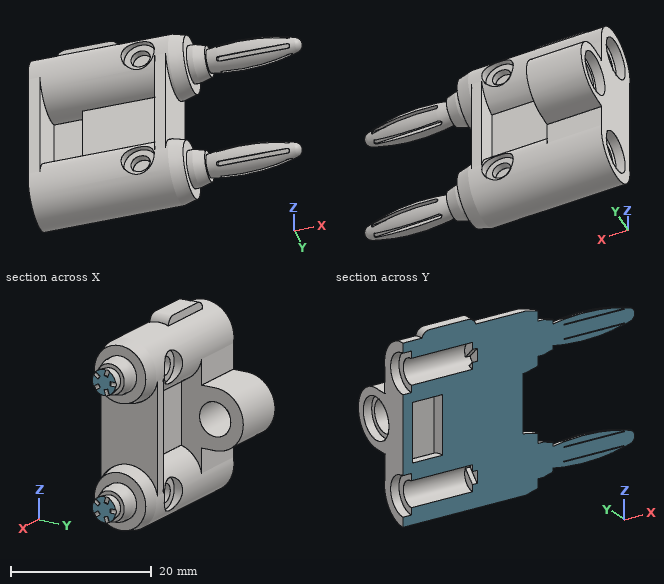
import cadquery as cq
import math


overall_width = 16.6
pin_spacing = 19.05
barrel_diameter = 9.7
barrel_radius = barrel_diameter / 2
barrel_length = 20.85
taper_end = 22.9
taper_end_radius = 4.32
upper_z = pin_spacing / 2
barrel_heights = (upper_z, -upper_z)

collar_radius = 2.8
collar_straight_end = 23.85
collar_end = 25.5
collar_end_radius = 2.3
pin_root_radius = 1.73
pin_belly_x = 31.05
pin_belly_radius = 2.2
nose_x = 38.55
nose_radius = 1.05
pin_tip = 39.3

slot_count = 5
slot_start = 27.05
slot_end = 37.73
slot_width = 0.65
slot_floor_radius = 1.05

web_length = 20.45
plate_half_width = 4.75
plate_half_height = 8.55
rear_plate_thickness = 1.73
front_plate_thickness = 1.6
web_front_y = -0.28
web_thickness = 1.6
deep_pocket_end = 6.7
deep_pocket_y = 2.15

jack_length = 8.55
jack_radius = 4.7
jack_y = overall_width - barrel_radius - jack_radius
jack_bore_diameter = 5.23
jack_counterbore_diameter = 6.72

counterbore_depth = 1.4
entry_bore_diameter = 4.13
entry_counterbore_diameter = 6.4
entry_bore_depth = 11.8
driver_slot_width = 1.38
driver_slot_depth = 0.8
driver_slot_angle = 45

side_hole_x = 16.3
side_counterbore_diameter = 4.9
side_hole_diameter = 2.83
side_hole_floor_y = 2.35

tab_start = 3.2
tab_end = 12.4
tab_width = 3.15
tab_height = 1.02
tab_end_radius = 1.38


def box(x_range, y_range, z_range):
    """Box between the given limits."""
    corner = (x_range[0], y_range[0], z_range[0])
    size = (x_range[1] - x_range[0], y_range[1] - y_range[0], z_range[1] - z_range[0])
    return cq.Workplane("XY").box(*size, centered=False).translate(corner)


def rod_x(x_start, x_end, diameter, y, z):
    """Cylinder along X."""
    plane = cq.Workplane("YZ", origin=(x_start, y, z))
    return plane.circle(diameter / 2).extrude(x_end - x_start)


def make_plug():
    """Barrel, collar and pin as one turned shape on the X axis."""
    cap_height = pin_tip - nose_x
    cap_radius = (nose_radius**2 + cap_height**2) / (2 * cap_height)
    cap_half_angle = math.asin(nose_radius / cap_radius) / 2
    cap_middle = (
        pin_tip - cap_radius * (1 - math.cos(cap_half_angle)),
        cap_radius * math.sin(cap_half_angle),
    )
    plug = (
        cq.Workplane("XY")
        .lineTo(0, barrel_radius)
        .lineTo(barrel_length, barrel_radius)
        .lineTo(taper_end, taper_end_radius)
        .lineTo(taper_end, collar_radius)
        .lineTo(collar_straight_end, collar_radius)
        .lineTo(collar_end, collar_end_radius)
        .lineTo(collar_end, pin_root_radius)
        .threePointArc((pin_belly_x, pin_belly_radius), (nose_x, nose_radius))
        .threePointArc(cap_middle, (pin_tip, 0))
        .close()
        .revolve(360, (0, 0, 0), (1, 0, 0))
    )
    slot = (
        cq.Workplane("XZ", origin=((slot_start + slot_end) / 2, slot_floor_radius, 0))
        .slot2D(slot_end - slot_start, slot_width)
        .extrude(-pin_belly_radius)
    )
    for index in range(slot_count):
        plug = plug.cut(slot.rotate((0, 0, 0), (1, 0, 0), index * 360 / slot_count))
    return plug


def make_web():
    """Slab between the barrels, hollowed to a web between its two end plates."""
    plate_z = (-plate_half_height, plate_half_height)
    pocket_x = (rear_plate_thickness, web_length - front_plate_thickness)
    slab = box((0, web_length), (-plate_half_width, plate_half_width), plate_z)
    front_pocket = box(pocket_x, (-plate_half_width, web_front_y), plate_z)
    web_back_y = web_front_y + web_thickness
    back_pocket = box((jack_length, pocket_x[1]), (web_back_y, plate_half_width), plate_z)
    deep_pocket = box((pocket_x[0], deep_pocket_end), (-plate_half_width, deep_pocket_y), plate_z)
    return slab.cut(front_pocket).cut(back_pocket).cut(deep_pocket)


def make_jack():
    """Round-backed block for the rear jack."""
    neck = box((0, jack_length), (deep_pocket_y, jack_y), (-jack_radius, jack_radius))
    return neck.union(rod_x(0, jack_length, 2 * jack_radius, jack_y, 0))


def make_tab():
    """Tab on top of the upper barrel, rounded at both ends."""
    top = upper_z + barrel_radius + tab_height
    tab = box((tab_start, tab_end), (-tab_width / 2, tab_width / 2), (upper_z, top))
    return tab.edges("|Y and >Z").fillet(tab_end_radius)


def make_entry_bore(z, slot_angle):
    """Counterbored wire entry with a driver slot across its floor."""
    bore = rod_x(0, entry_bore_depth, entry_bore_diameter, 0, z)
    counterbore = rod_x(0, counterbore_depth, entry_counterbore_diameter, 0, z)
    slot_end_x = entry_bore_depth + driver_slot_depth
    slot_blank = (
        cq.Workplane("YZ", origin=(entry_bore_depth, 0, z))
        .transformed(rotate=(0, 0, slot_angle))
        .rect(entry_bore_diameter, driver_slot_width)
        .extrude(driver_slot_depth)
    )
    driver_slot = slot_blank.intersect(rod_x(entry_bore_depth, slot_end_x, entry_bore_diameter, 0, z))
    return bore.union(counterbore).union(driver_slot)


def make_side_hole(z, side):
    """Stepped hole along Y in one side (-1 or 1) of a barrel."""

    def step(diameter, floor_y):
        plane = cq.Workplane("XZ", origin=(side_hole_x, side * floor_y, z))
        return plane.circle(diameter / 2).extrude(-side * (barrel_radius - floor_y))

    counterbore = step(side_counterbore_diameter, barrel_radius - counterbore_depth)
    return counterbore.union(step(side_hole_diameter, side_hole_floor_y))


plug = make_plug()
body = make_web()
for z in barrel_heights:
    body = body.union(plug.translate((0, 0, z)))
body = body.union(make_jack()).union(make_tab())

body = body.cut(rod_x(0, jack_length, jack_bore_diameter, jack_y, 0))
body = body.cut(rod_x(0, counterbore_depth, jack_counterbore_diameter, jack_y, 0))

for z, angle in zip(barrel_heights, (-driver_slot_angle, driver_slot_angle)):
    body = body.cut(make_entry_bore(z, angle))
    for side in (-1, 1):
        body = body.cut(make_side_hole(z, side))

result = body